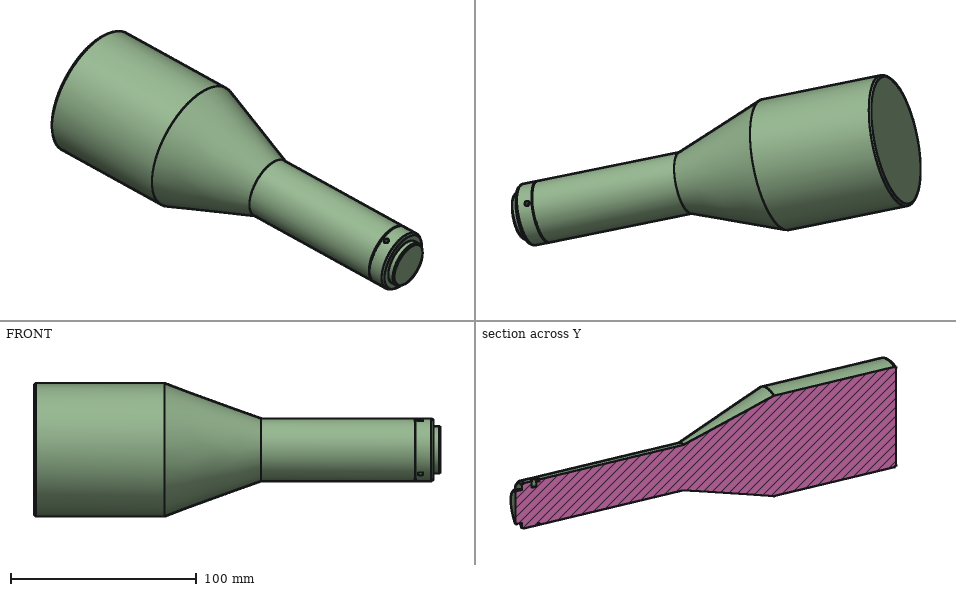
import cadquery as cq

total_length = 218.8
head_length = 70.2
cone_end = 122.3
seam_position = 205.2
collar_end = 215.0

head_diameter = 72.0
tube_diameter = 34.0
spigot_diameter = 25.5
head_radius = head_diameter / 2
tube_radius = tube_diameter / 2
spigot_radius = spigot_diameter / 2

head_chamfer = 1.0
collar_chamfer_length = 1.3
collar_chamfer_depth = 0.9
spigot_chamfer = 0.7

groove_width = 0.5
groove_depth = 1.3

hole_position = 208.0
hole_radius = 1.3
hole_depth = 4.4
hole_count = 3
first_hole_angle = 20.0


def cylinder(start, end, radius):
    """Cylinder about the X axis between two positions."""
    return cq.Workplane("YZ", origin=(start, 0, 0)).circle(radius).extrude(end - start)


def make_body():
    """Revolve the half profile: head, cone, tube, chamfered collar and spigot."""
    profile = (
        cq.Workplane("XY")
        .moveTo(0, 0)
        .lineTo(0, head_radius - head_chamfer)
        .lineTo(head_chamfer, head_radius)
        .lineTo(head_length, head_radius)
        .lineTo(cone_end, tube_radius)
        .lineTo(collar_end - collar_chamfer_length, tube_radius)
        .lineTo(collar_end, tube_radius - collar_chamfer_depth)
        .lineTo(collar_end, spigot_radius)
        .lineTo(total_length - spigot_chamfer, spigot_radius)
        .lineTo(total_length, spigot_radius - spigot_chamfer)
        .lineTo(total_length, 0)
        .close()
    )
    return profile.revolve(360, (0, 0, 0), (1, 0, 0))


def make_groove():
    """Thin ring removed at the parting line."""
    start = seam_position - groove_width / 2
    end = seam_position + groove_width / 2
    outer = cylinder(start, end, head_radius)
    return outer.cut(cylinder(start, end, tube_radius - groove_depth))


def make_screw_hole(angle):
    """Blind radial hole, turned about the X axis from +Z."""
    hole = (
        cq.Workplane("XY", origin=(hole_position, 0, tube_radius - hole_depth))
        .circle(hole_radius)
        .extrude(2 * hole_depth)
    )
    return hole.rotate((0, 0, 0), (1, 0, 0), angle)


result = make_body().cut(make_groove())
for index in range(hole_count):
    result = result.cut(make_screw_hole(first_hole_angle + index * 360 / hole_count))